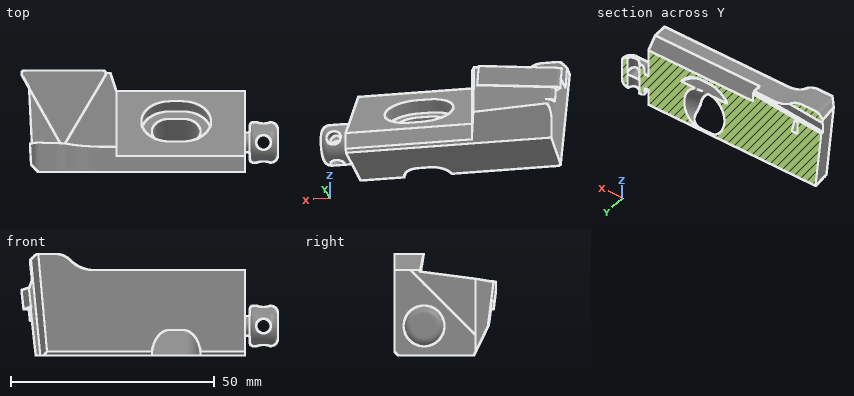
import cadquery as cq
import math


INSERT_CIRCLE = 12.7
INSERT_NOSE = 0.8
INSERT_THICKNESS = 4.8
RISE_X = 0.105
FALL_Y = 0.13
MAX_Y = 25.0
INSERT_TILT_Y = math.atan(FALL_Y)
INSERT_TILT_X = math.atan(RISE_X)
INSERT_HALF_SIDE = INSERT_CIRCLE / 2 * math.sqrt(3)
INSERT_HALF_LENGTH = INSERT_HALF_SIDE - INSERT_NOSE * (math.sqrt(3) - 1)
NOSE_SKEW = (
    (INSERT_CIRCLE / 2 - INSERT_NOSE)
    * RISE_X * FALL_Y / math.hypot(RISE_X, FALL_Y, 1) / math.hypot(RISE_X, 1)
)
INSERT_CENTER = (
    INSERT_HALF_LENGTH * math.cos(INSERT_TILT_X) - NOSE_SKEW,
    MAX_Y - INSERT_CIRCLE / 2 * math.cos(INSERT_TILT_Y),
    17.9,
)

HOLDER_END = 54.9
HOLDER_HEIGHT = 25.0
RIB_HEIGHT = 21.05
BASE_CHAMFER = 1.0
CREST_END = 8.4
CREST_RADIUS = 5.0
VALLEY_RADIUS = 8.2
TOP_CHAMFER_X = 3.7
TOP_CHAMFER_FILLET = 1.65
HEAD_END = 23.3
BLOCK_DEPTH = 20.0
HEAD_CORNER_X = 21.85
BASE_DEPTH = 19.5
RELIEF_ANGLE = 26.0
LEFT_FACE_X = -8.75
LEFT_FACE_ANGLE = 3.6
HEAD_CORNER_RADIUS = 1.6
NOSE_CHAMFER_X = 6.35
NOSE_CHAMFER_LEAN = 0.09
WALL_Y = -12.6
WALL_LEAN = 2.3
SHIM_INSET = 0.6
SHIM_THICKNESS = 3.0
SHIM_NOSE = 1.1
SEAT_DROP = 0.2

RIB_WIDTH = 4.0
SLOT_X = 38.0
SLOT_Y = 12.5
SLOT_STRAIGHT = 3.1
SLOT_WIDTH = 8.9
COUNTERBORE_WIDTH = 14.0
COUNTERBORE_DEPTH = 3.5

SCREW_Y = 7.3
SCREW_Z = 7.3
NECK_DIAMETER = 4.9
HEAD_DIAMETER = 10.0
SCREW_HEAD_START = 56.0
SCREW_END = 63.0
NECK_FILLET = 0.4
HEAD_INNER_FILLET = 1.0
HEAD_OUTER_FILLET = 2.0
KEY_HOLE_DIAMETER = 3.5
KEY_HOLE_X = 59.4

REACH = 75.6

insert_frame = cq.Plane(INSERT_CENTER, xDir=(1, 0, RISE_X), normal=(-RISE_X, FALL_Y, 1))


def triangle_prism(inset, nose, top, bottom):
    """Triangle with rounded corners, between two depths below the tilted plane."""
    apothem = INSERT_CIRCLE / 2 - inset
    half_side = apothem * math.sqrt(3)
    return (
        cq.Workplane(insert_frame)
        .workplane(offset=-top)
        .polyline([(-half_side, apothem), (half_side, apothem), (0, -2 * apothem)])
        .close()
        .extrude(top - bottom)
        .edges(cq.selectors.ParallelDirSelector(insert_frame.zDir))
        .fillet(nose)
    )


def side_profile():
    """Long outline with the chamfered crest and the S-shaped drop to the rib."""
    drop = HOLDER_HEIGHT - RIB_HEIGHT
    bend = math.acos(1 - drop / (CREST_RADIUS + VALLEY_RADIUS))

    def crest_point(angle):
        return (
            CREST_END + CREST_RADIUS * math.sin(angle),
            HOLDER_HEIGHT - CREST_RADIUS * (1 - math.cos(angle)),
        )

    valley_end = CREST_END + (CREST_RADIUS + VALLEY_RADIUS) * math.sin(bend)

    def valley_point(angle):
        return (
            valley_end - VALLEY_RADIUS * math.sin(angle),
            RIB_HEIGHT + VALLEY_RADIUS * (1 - math.cos(angle)),
        )

    left = TOP_CHAMFER_X - HOLDER_HEIGHT / 2
    body = (
        cq.Workplane("XZ")
        .moveTo(left, 0)
        .lineTo(left, HOLDER_HEIGHT / 2)
        .lineTo(TOP_CHAMFER_X, HOLDER_HEIGHT)
        .lineTo(CREST_END, HOLDER_HEIGHT)
        .threePointArc(crest_point(bend / 2), crest_point(bend))
        .threePointArc(valley_point(bend / 2), (valley_end, RIB_HEIGHT))
        .lineTo(HOLDER_END, RIB_HEIGHT)
        .lineTo(HOLDER_END, 0)
        .close()
        .extrude(-MAX_Y)
    )
    crest_edge = cq.selectors.NearestToPointSelector((TOP_CHAMFER_X, MAX_Y / 2, HOLDER_HEIGHT))
    body = body.edges(crest_edge).fillet(TOP_CHAMFER_FILLET)
    return body.edges("|X and <Y and <Z").chamfer(BASE_CHAMFER)


def plan_outline():
    """Outline from above: wide head, slanted step, narrower block."""
    return (
        cq.Workplane("XY")
        .polyline([
            (-REACH, 0),
            (HOLDER_END, 0),
            (HOLDER_END, BLOCK_DEPTH),
            (HEAD_END, BLOCK_DEPTH),
            (HEAD_CORNER_X, MAX_Y - SHIM_INSET),
            (HEAD_CORNER_X, MAX_Y),
            (-REACH, MAX_Y),
        ])
        .close()
        .extrude(HOLDER_HEIGHT)
    )


def leaning_outline():
    """Left and rear faces of the head, which run square to the tilted plane."""
    rear = INSERT_CIRCLE / 2 - SHIM_INSET
    shift = REACH * math.tan(math.radians(LEFT_FACE_ANGLE))
    corner = insert_frame.toWorldCoords((LEFT_FACE_X, rear, 0)).toTuple()
    return (
        cq.Workplane(insert_frame)
        .polyline([
            (LEFT_FACE_X, rear),
            (REACH, rear),
            (REACH, rear - REACH),
            (LEFT_FACE_X + shift, rear - REACH),
        ])
        .close()
        .extrude(REACH / 2, both=True)
        .edges(cq.selectors.NearestToPointSelector(corner))
        .fillet(HEAD_CORNER_RADIUS)
    )


def relief_outline():
    """Material kept in front of the clearance face under the head."""
    overhang = HOLDER_HEIGHT * math.tan(math.radians(RELIEF_ANGLE))
    return (
        cq.Workplane("YZ")
        .polyline([
            (0, 0),
            (BASE_DEPTH, 0),
            (BASE_DEPTH + overhang, HOLDER_HEIGHT),
            (0, HOLDER_HEIGHT),
        ])
        .close()
        .extrude(REACH, both=True)
    )


def nose_chamfer():
    """45 degree chamfer along the leaning corner of the left and side faces."""
    frame = cq.Plane((0, 0, 0), xDir=(1, 0, NOSE_CHAMFER_LEAN), normal=(-NOSE_CHAMFER_LEAN, 0, 1))
    return (
        cq.Workplane(frame)
        .polyline([(NOSE_CHAMFER_X, 0), (NOSE_CHAMFER_X - REACH, REACH), (NOSE_CHAMFER_X - REACH, 0)])
        .close()
        .extrude(REACH / 2, both=True)
    )


def seat_clearance():
    """Open space above the tilted holder surface, behind the overhanging wall."""
    overhang = REACH * math.tan(math.radians(WALL_LEAN))
    section = cq.Plane(INSERT_CENTER, xDir=insert_frame.yDir, normal=insert_frame.xDir)
    return (
        cq.Workplane(section)
        .polyline([(WALL_Y, -SEAT_DROP), (REACH, -SEAT_DROP), (REACH, REACH), (WALL_Y + overhang, REACH)])
        .close()
        .extrude(REACH, both=True)
    )


def shelf_clearance():
    """Space above the 45 degree shelf that falls away from the rib."""
    return (
        cq.Workplane("YZ")
        .workplane(offset=HEAD_END)
        .polyline([
            (RIB_WIDTH, RIB_HEIGHT),
            (RIB_WIDTH + RIB_HEIGHT, 0),
            (RIB_WIDTH + RIB_HEIGHT, RIB_HEIGHT),
        ])
        .close()
        .extrude(HOLDER_END - HEAD_END)
    )


def clamping_slot():
    """Counterbored slot running down to the corner of the base and side face."""
    slot_z = RIB_HEIGHT + RIB_WIDTH - SLOT_Y
    frame = cq.Plane((SLOT_X, SLOT_Y, slot_z), xDir=(1, 0, 0), normal=(0, 1, 1))
    bore = cq.Workplane(frame).slot2D(SLOT_STRAIGHT + SLOT_WIDTH, SLOT_WIDTH).extrude(-REACH)
    counterbore = (
        cq.Workplane(frame)
        .slot2D(SLOT_STRAIGHT + COUNTERBORE_WIDTH, COUNTERBORE_WIDTH)
        .extrude(-COUNTERBORE_DEPTH)
    )
    return bore.union(counterbore)


def make_screw():
    """Neck and round head with two crossing key holes."""
    axis_frame = cq.Workplane("YZ", origin=(HOLDER_END, SCREW_Y, SCREW_Z))
    neck = axis_frame.circle(NECK_DIAMETER / 2).extrude(SCREW_HEAD_START - HOLDER_END)
    head = (
        axis_frame.workplane(offset=SCREW_HEAD_START - HOLDER_END)
        .circle(HEAD_DIAMETER / 2)
        .extrude(SCREW_END - SCREW_HEAD_START)
    )
    shoulder = cq.selectors.BoxSelector(
        (SCREW_HEAD_START - NECK_FILLET, 0, 0),
        (SCREW_HEAD_START + NECK_FILLET, REACH, REACH),
    )
    screw = (
        neck.union(head)
        .faces(">X").edges().fillet(HEAD_OUTER_FILLET)
        .edges(shoulder).edges(cq.selectors.RadiusNthSelector(0)).fillet(NECK_FILLET)
        .edges(shoulder).edges(cq.selectors.RadiusNthSelector(-1)).fillet(HEAD_INNER_FILLET)
    )
    for side in ("XY", "XZ"):
        key_hole = (
            cq.Workplane(side, origin=(KEY_HOLE_X, SCREW_Y, SCREW_Z))
            .circle(KEY_HOLE_DIAMETER / 2)
            .extrude(HEAD_DIAMETER, both=True)
        )
        screw = screw.cut(key_hole)
    return screw


def make_insert():
    """Insert with its rounded corners and flat top."""
    return triangle_prism(0, INSERT_NOSE, 0, INSERT_THICKNESS)


def make_holder(insert):
    """Holder with its shim and screw, recessed to fit the insert."""
    holder = side_profile()
    for outline in (plan_outline(), leaning_outline(), relief_outline()):
        holder = holder.intersect(outline)
    for clearance in (nose_chamfer(), seat_clearance(), shelf_clearance(), clamping_slot()):
        holder = holder.cut(clearance)
    shim_bottom = INSERT_THICKNESS + SHIM_THICKNESS
    shim = triangle_prism(SHIM_INSET, SHIM_NOSE, INSERT_THICKNESS, shim_bottom)
    return holder.cut(insert).union(shim).union(make_screw())


insert = make_insert()
holder = make_holder(insert)

result = cq.Compound.makeCompound([holder.val(), insert.val()])